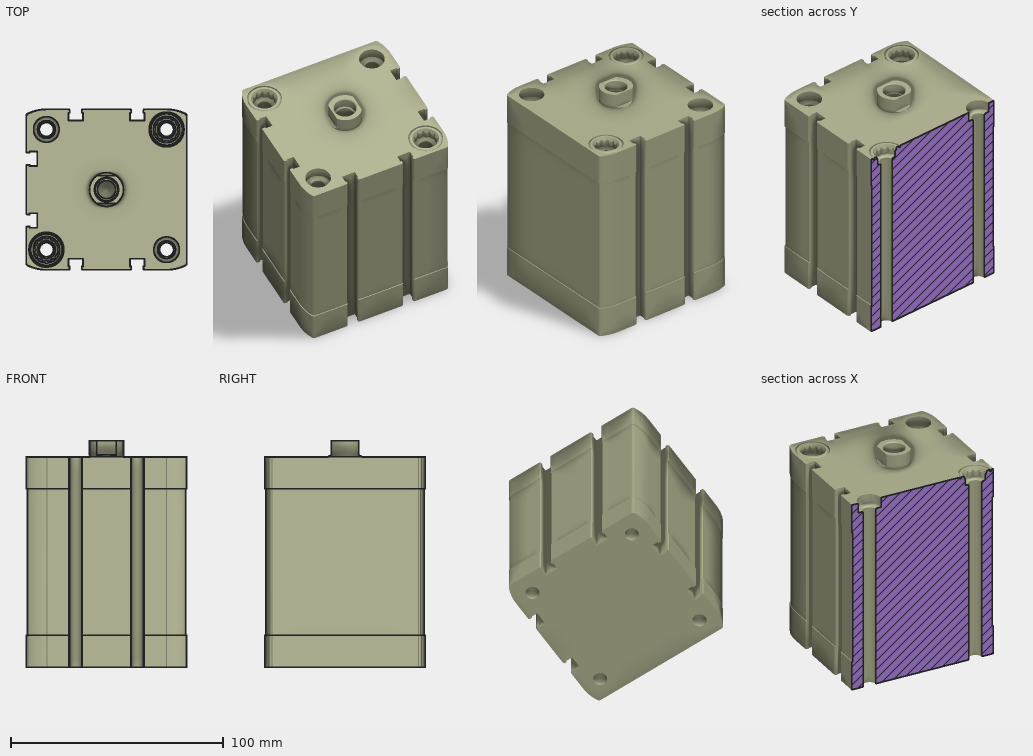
import cadquery as cq
import math

WIDTH = 75.5
TOTAL_HEIGHT = 106.5
ROD_PROJECTION = 7.6
HOUSING_HEIGHT = TOTAL_HEIGHT - ROD_PROJECTION
CAP_HEIGHT = 15.1
BARREL_INSET = 0.4

CORNER_RADIUS = 20.0
CORNER_START = 9.6
CORNER_EDGE_FILLET = 1.5

SLOT_OFFSET = 14.5
SLOT_DEPTH = 5.2
SLOT_WIDTH = 6.7
LIP_DEPTH = 1.7
MOUTH_WIDTH = 5.5
MOUTH_CHAMFER = 0.4

HOLE_OFFSET = 28.2
THROUGH_DIAMETER = 6.6
COUNTERBORE_DIAMETER = 12.0
COUNTERBORE_DEPTH = 5.0
SEAT_DIAMETER = 8.4
SEAT_DEPTH = 0.5

HEAD_SEAT_DIAMETER = 16.4
HEAD_DIAMETER = 15.5
HEAD_EDGE_CHAMFER = 0.4
HEAD_GAP_DEPTH = 0.9
SOCKET_TIP_DIAMETER = 11.5
SOCKET_ROOT_DIAMETER = 10.5
SOCKET_LEAD_DIAMETER = 12.6
SOCKET_LEAD_DEPTH = 2.0
SOCKET_LOBES = 12
LOBE_TIP_ANGLE = 5.0
LOBE_ROOT_ANGLE = 18.0
FIRST_LOBE_ANGLE = 45.0

ROD_DIAMETER = 16.0
ROD_FLATS = 13.0
FLAT_LIFT = 0.9
ROD_EMBEDDED = CAP_HEIGHT
ROD_BORE_DIAMETER = 10.5
ROD_BORE_CHAMFER = 0.4
ROD_BORE_DEPTH = 5.0
ROD_CORE_DIAMETER = 8.5
ROD_CORE_DEPTH = 12.8
DRILL_TIP_ANGLE = 118.0


def rounded_outline(inset):
    """Square outline whose Y faces run into the X faces along broad arcs."""
    half = WIDTH / 2 - inset
    tangent = WIDTH / 2 - CORNER_START
    corner = CORNER_RADIUS - inset
    run = half - tangent
    sweep = math.asin(run / corner)

    def on_arc(angle):
        return (tangent + corner * math.sin(angle),
                half - corner * (1 - math.cos(angle)))

    end = on_arc(sweep)
    mid = on_arc(sweep / 2)
    return (
        cq.Workplane("XY")
        .moveTo(-tangent, half)
        .lineTo(tangent, half)
        .threePointArc(mid, end)
        .lineTo(end[0], -end[1])
        .threePointArc((mid[0], -mid[1]), (tangent, -half))
        .lineTo(-tangent, -half)
        .threePointArc((-mid[0], -mid[1]), (-end[0], -end[1]))
        .lineTo(-end[0], end[1])
        .threePointArc((-mid[0], mid[1]), (-tangent, half))
        .close()
    )


def section_block(inset, bottom, height):
    block = rounded_outline(inset).extrude(height)
    edges = block.edges("|Z").edges("<X or >X")
    return edges.fillet(CORNER_EDGE_FILLET - inset).translate((0, 0, bottom))


def slot_cutter(inset, bottom, height):
    """T-slot open towards -Y, centred on X = 0."""
    face = -WIDTH / 2 + inset
    floor = -WIDTH / 2 + SLOT_DEPTH
    lip = -WIDTH / 2 + LIP_DEPTH
    mouth = MOUTH_WIDTH / 2
    wide = mouth + MOUTH_CHAMFER
    half = SLOT_WIDTH / 2
    return (
        cq.Workplane("XY", origin=(0, 0, bottom))
        .polyline([
            (-wide, face), (-mouth, face + MOUTH_CHAMFER), (-mouth, lip), (-half, lip), (-half, floor),
            (half, floor), (half, lip), (mouth, lip), (mouth, face + MOUTH_CHAMFER), (wide, face),
        ])
        .close()
        .extrude(height)
    )


def slotted_block(inset, bottom, height):
    block = section_block(inset, bottom, height)
    cutter = slot_cutter(inset, bottom, height)
    for turn in (0, 180, 270):
        for side in (-1, 1):
            placed = cutter.translate((side * SLOT_OFFSET, 0, 0))
            block = block.cut(placed.rotate((0, 0, 0), (0, 0, 1), turn))
    return block


def cylinder(diameter, top, depth):
    return cq.Workplane("XY", origin=(0, 0, top - depth)).circle(diameter / 2).extrude(depth)


def cone(top_diameter, bottom_diameter, top, depth):
    solid = cq.Solid.makeCone(bottom_diameter / 2, top_diameter / 2, depth, pnt=cq.Vector(0, 0, top - depth))
    return cq.Workplane(obj=solid)


def bored_hole():
    """Through hole with a conical seat, common to all four corners."""
    floor = HOUSING_HEIGHT - COUNTERBORE_DEPTH
    through = cylinder(THROUGH_DIAMETER, floor, floor)
    return through.union(cone(SEAT_DIAMETER, THROUGH_DIAMETER, floor, SEAT_DEPTH))


def plain_corner_hole():
    return bored_hole().union(cylinder(COUNTERBORE_DIAMETER, HOUSING_HEIGHT, COUNTERBORE_DEPTH))


def screw_corner_hole():
    """Groove around a screw head, with a lobed socket in the head."""
    tip = SOCKET_TIP_DIAMETER / 2
    root = SOCKET_ROOT_DIAMETER / 2
    pitch = 360 / SOCKET_LOBES
    lobe = [
        (root, -LOBE_ROOT_ANGLE / 2), (tip, -LOBE_TIP_ANGLE / 2),
        (tip, LOBE_TIP_ANGLE / 2), (root, LOBE_ROOT_ANGLE / 2),
    ]
    points = []
    for i in range(SOCKET_LOBES):
        for radius, offset in lobe:
            angle = math.radians(FIRST_LOBE_ANGLE + i * pitch + offset)
            points.append((radius * math.cos(angle), radius * math.sin(angle)))
    floor = HOUSING_HEIGHT - COUNTERBORE_DEPTH
    socket = cq.Workplane("XY", origin=(0, 0, floor)).polyline(points).close().extrude(COUNTERBORE_DEPTH)
    lead = cone(SOCKET_LEAD_DIAMETER, SOCKET_ROOT_DIAMETER, HOUSING_HEIGHT, SOCKET_LEAD_DEPTH)
    head = cylinder(HEAD_DIAMETER, HOUSING_HEIGHT, HEAD_GAP_DEPTH).faces(">Z").chamfer(HEAD_EDGE_CHAMFER)
    gap = cylinder(HEAD_SEAT_DIAMETER, HOUSING_HEIGHT, HEAD_GAP_DEPTH).cut(head)
    return bored_hole().union(socket).union(lead).union(gap)


def make_housing():
    barrel_height = HOUSING_HEIGHT - 2 * CAP_HEIGHT
    housing = (
        slotted_block(0, 0, CAP_HEIGHT)
        .union(slotted_block(BARREL_INSET, CAP_HEIGHT, barrel_height))
        .union(slotted_block(0, HOUSING_HEIGHT - CAP_HEIGHT, CAP_HEIGHT))
    )
    plain = plain_corner_hole()
    screw = screw_corner_hole()
    for side in (-1, 1):
        housing = housing.cut(plain.translate((side * HOLE_OFFSET, -side * HOLE_OFFSET, 0)))
        housing = housing.cut(screw.translate((side * HOLE_OFFSET, side * HOLE_OFFSET, 0)))
    return housing.cut(cylinder(ROD_DIAMETER, HOUSING_HEIGHT, ROD_EMBEDDED))


def make_rod():
    rod = cylinder(ROD_DIAMETER, TOTAL_HEIGHT, ROD_PROJECTION + ROD_EMBEDDED)

    radius = ROD_DIAMETER / 2
    flat = ROD_FLATS / 2
    flat_cut = (
        cq.Workplane("YZ")
        .polyline([
            (flat, TOTAL_HEIGHT), (flat, HOUSING_HEIGHT + FLAT_LIFT),
            (radius, HOUSING_HEIGHT), (radius, TOTAL_HEIGHT),
        ])
        .close()
        .extrude(radius, both=True)
    )
    rod = rod.cut(flat_cut).cut(flat_cut.mirror("XZ"))

    tip_depth = ROD_CORE_DIAMETER / 2 / math.tan(math.radians(DRILL_TIP_ANGLE / 2))
    mouth_diameter = ROD_BORE_DIAMETER + 2 * ROD_BORE_CHAMFER
    bore = (
        cylinder(ROD_BORE_DIAMETER, TOTAL_HEIGHT, ROD_BORE_DEPTH)
        .union(cone(mouth_diameter, ROD_BORE_DIAMETER, TOTAL_HEIGHT, ROD_BORE_CHAMFER))
        .union(cylinder(ROD_CORE_DIAMETER, TOTAL_HEIGHT, ROD_CORE_DEPTH))
        .union(cone(ROD_CORE_DIAMETER, 0, TOTAL_HEIGHT - ROD_CORE_DEPTH, tip_depth))
    )
    return rod.cut(bore)


housing = make_housing()
rod = make_rod()
result = cq.Compound.makeCompound([housing.val(), rod.val()])